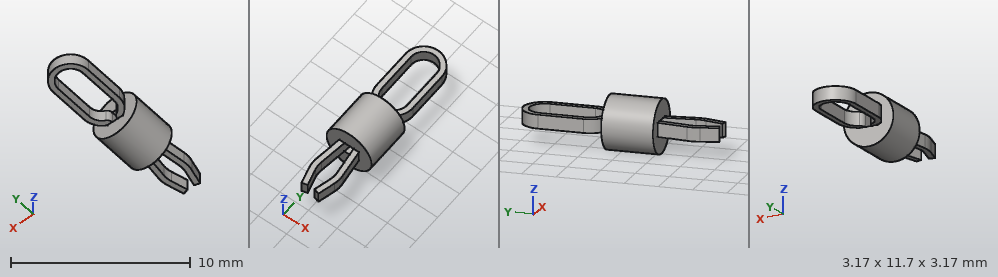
import cadquery as cq
import math

BEAD_DIAMETER = 3.17
BEAD_LENGTH = 3.04

STRIP_THICKNESS = 0.37
STRIP_HEIGHT = 0.82
LOOP_RADIUS = 1.27
OVERALL_LENGTH = 11.68
LOOP_TOP_Y = 6.59
NECK_HALF_WIDTH = 0.57
CROWN_HALF_WIDTH = 0.95
CROWN_Y = -3.54
CROWN_RADIUS = 1.9
SPREAD_ANGLE = math.radians(7.5)
TIP_ANGLE = math.radians(15)

BEAD_BACK_Y = BEAD_LENGTH / 2
BEAD_FRONT_Y = -BEAD_LENGTH / 2
TIP_Y = LOOP_TOP_Y - OVERALL_LENGTH
LOOP_CENTER_Y = LOOP_TOP_Y - LOOP_RADIUS
SHOULDER_ANGLE = math.acos(NECK_HALF_WIDTH / LOOP_RADIUS)
SHOULDER_CENTER_Y = BEAD_BACK_Y + LOOP_RADIUS * math.sin(SHOULDER_ANGLE)
CROWN_CENTER_X = CROWN_HALF_WIDTH - CROWN_RADIUS


def polar(center, radius, angle):
    return (center[0] + radius * math.cos(angle), center[1] + radius * math.sin(angle))


LOOP_CENTER = (0, LOOP_CENTER_Y)
SHOULDER_CENTER = (0, SHOULDER_CENTER_Y)
NECK_CORNER = (NECK_HALF_WIDTH, BEAD_BACK_Y)
CROWN_CENTER = (CROWN_CENTER_X, CROWN_Y)

OUTER_CROWN_START = polar(CROWN_CENTER, CROWN_RADIUS, SPREAD_ANGLE)
OUTER_CROWN_END = polar(CROWN_CENTER, CROWN_RADIUS, -TIP_ANGLE)
SPREAD_Y = OUTER_CROWN_START[1] + (OUTER_CROWN_START[0] - NECK_HALF_WIDTH) / math.tan(SPREAD_ANGLE)
OUTER_TIP = (OUTER_CROWN_END[0] - (OUTER_CROWN_END[1] - TIP_Y) * math.tan(TIP_ANGLE), TIP_Y)


def half_clip():
    """Right half of the strip, from the top of the loop to the tip."""
    inner_loop = LOOP_RADIUS - STRIP_THICKNESS
    inner_crown = CROWN_RADIUS - STRIP_THICKNESS
    inner_neck = NECK_HALF_WIDTH - STRIP_THICKNESS
    inner_spread_y = SPREAD_Y - STRIP_THICKNESS * math.tan(SPREAD_ANGLE / 2)
    inner_tip = polar(OUTER_TIP, -STRIP_THICKNESS, -TIP_ANGLE)
    bend_middle = math.pi - SHOULDER_ANGLE / 2
    return (
        cq.Workplane("XY")
        .workplane(offset=-STRIP_HEIGHT / 2)
        .moveTo(0, LOOP_TOP_Y)
        .threePointArc(polar(LOOP_CENTER, LOOP_RADIUS, math.pi / 4), (LOOP_RADIUS, LOOP_CENTER_Y))
        .lineTo(LOOP_RADIUS, SHOULDER_CENTER_Y)
        .threePointArc(polar(SHOULDER_CENTER, LOOP_RADIUS, -SHOULDER_ANGLE / 2), NECK_CORNER)
        .lineTo(NECK_HALF_WIDTH, SPREAD_Y)
        .lineTo(*OUTER_CROWN_START)
        .threePointArc((CROWN_HALF_WIDTH, CROWN_Y), OUTER_CROWN_END)
        .lineTo(*OUTER_TIP)
        .lineTo(*inner_tip)
        .lineTo(*polar(CROWN_CENTER, inner_crown, -TIP_ANGLE))
        .threePointArc(
            (CROWN_HALF_WIDTH - STRIP_THICKNESS, CROWN_Y),
            polar(CROWN_CENTER, inner_crown, SPREAD_ANGLE),
        )
        .lineTo(inner_neck, inner_spread_y)
        .lineTo(inner_neck, BEAD_BACK_Y)
        .threePointArc(
            polar(NECK_CORNER, STRIP_THICKNESS, bend_middle),
            polar(SHOULDER_CENTER, inner_loop, -SHOULDER_ANGLE),
        )
        .threePointArc(
            polar(SHOULDER_CENTER, inner_loop, -SHOULDER_ANGLE / 2),
            (inner_loop, SHOULDER_CENTER_Y),
        )
        .lineTo(inner_loop, LOOP_CENTER_Y)
        .threePointArc(polar(LOOP_CENTER, inner_loop, math.pi / 4), (0, LOOP_TOP_Y - STRIP_THICKNESS))
        .close()
        .extrude(STRIP_HEIGHT)
    )


def make_clip():
    right_half = half_clip()
    return right_half.union(right_half.mirror("YZ"))


def make_bead():
    """Cylinder with a through slot that follows the outer faces of the legs."""
    bead = (
        cq.Workplane("XZ", origin=(0, BEAD_BACK_Y, 0))
        .circle(BEAD_DIAMETER / 2)
        .extrude(BEAD_LENGTH)
    )
    front_half_width = NECK_HALF_WIDTH + (SPREAD_Y - BEAD_FRONT_Y) * math.tan(SPREAD_ANGLE)
    slot = (
        cq.Workplane("XY")
        .workplane(offset=-STRIP_HEIGHT / 2)
        .moveTo(0, BEAD_BACK_Y)
        .lineTo(*NECK_CORNER)
        .lineTo(NECK_HALF_WIDTH, SPREAD_Y)
        .lineTo(front_half_width, BEAD_FRONT_Y)
        .lineTo(0, BEAD_FRONT_Y)
        .mirrorY()
        .extrude(STRIP_HEIGHT)
    )
    return bead.cut(slot)


clip = make_clip()
bead = make_bead()

result = cq.Compound.makeCompound([clip.val(), bead.val()])